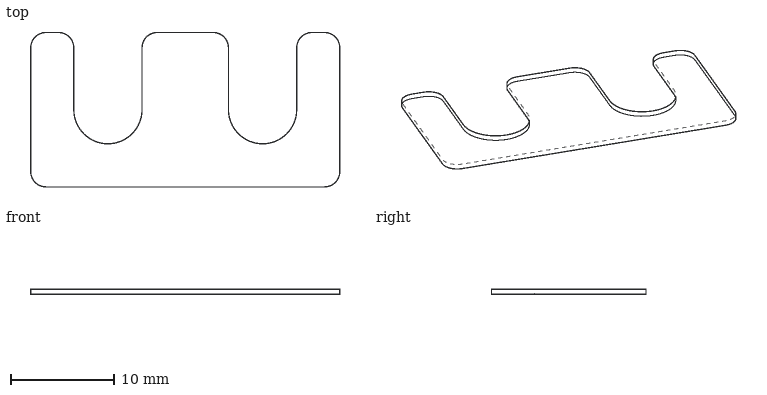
import cadquery as cq

length = 30.0
width = length / 2
thickness = 0.5
corner_radius = 1.5

slot_width = 6.6
slot_radius = slot_width / 2
slot_spacing = length / 2
slot_end_y = 0.0
slot_depth = width / 2 - slot_end_y


def open_slot(center_x):
    """Cutter for one slot: a straight channel with a semicircular inner end."""
    channel = (
        cq.Workplane("XY")
        .center(center_x, slot_end_y + slot_depth / 2)
        .rect(slot_width, slot_depth)
        .extrude(thickness)
    )
    round_end = cq.Workplane("XY").center(center_x, slot_end_y).circle(slot_radius).extrude(thickness)
    return channel.union(round_end)


plate = cq.Workplane("XY").rect(length, width).extrude(thickness)
for side in (-1, 1):
    plate = plate.cut(open_slot(side * slot_spacing / 2))

front_corners = plate.faces("<Y").edges("|Z")
back_corners = plate.faces(">Y").edges("|Z")
result = plate.newObject(front_corners.vals() + back_corners.vals()).fillet(corner_radius)